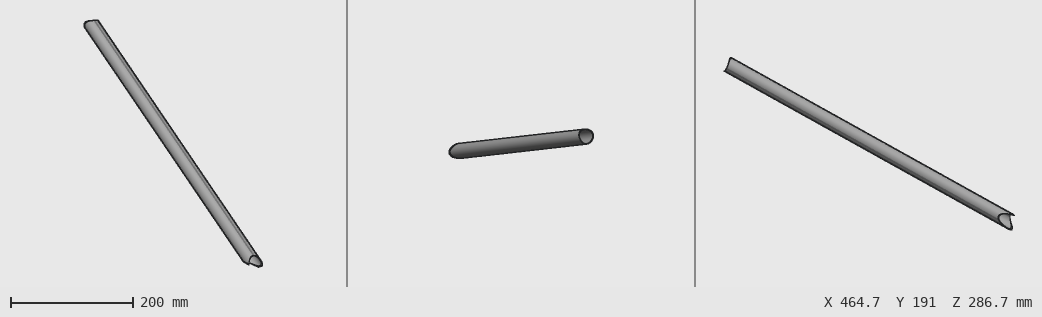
import cadquery as cq

TUBE_RADIUS = 12.7
WALL = 1.2
STOCK_OVERRUN = 40.0

UPPER_JOINT = cq.Vector(-236.88, 86.84, 140.99)
LOWER_JOINT = cq.Vector(229.99, -85.99, -139.98)

UPPER_MATE_DIRECTION = cq.Vector(0.626, 0.075, 0.776)
UPPER_MATE_RADIUS = 17.1
LOWER_MATE_DIRECTIONS = [
    cq.Vector(0.972, 0.010, 0.234),
    cq.Vector(0.099, -0.207, 0.973),
]
LOWER_MATE_RADIUS = 13.03

CUTTER_LENGTH = 240.0
CUTTER_REACH = 120.0

AXIS = (LOWER_JOINT - UPPER_JOINT).normalized()
UP = cq.Vector(0, 0, 1)
SIDE = AXIS.cross(UP)


def tube_stock(radius):
    """Solid cylinder past both joints, its round wall split in two faces above and below the axis."""
    start = UPPER_JOINT - AXIS * STOCK_OVERRUN
    length = (LOWER_JOINT - UPPER_JOINT).Length + 2 * STOCK_OVERRUN
    return (
        cq.Workplane(cq.Plane(origin=start, xDir=SIDE, normal=AXIS))
        .moveTo(0, radius)
        .threePointArc((radius, 0), (0, -radius))
        .threePointArc((-radius, 0), (0, radius))
        .close()
        .extrude(length, clean=False)
    )


def saddle_cutter(joint, direction, radius, outward):
    """Mating tube centred on a joint, plus all the space beyond its axis on the outward side."""
    across = outward.cross(direction)
    section = cq.Plane(origin=joint, xDir=across, normal=direction)
    outward_sign = 1 if section.yDir.dot(outward) > 0 else -1
    mate = cq.Workplane(section).circle(radius).extrude(CUTTER_LENGTH / 2, both=True)
    beyond = (
        cq.Workplane(section)
        .center(0, outward_sign * CUTTER_REACH / 2)
        .rect(CUTTER_REACH, CUTTER_REACH)
        .extrude(CUTTER_LENGTH / 2, both=True)
    )
    return mate.union(beyond)


tube = tube_stock(TUBE_RADIUS).cut(tube_stock(TUBE_RADIUS - WALL), clean=False)

tube = tube.cut(saddle_cutter(UPPER_JOINT, UPPER_MATE_DIRECTION, UPPER_MATE_RADIUS, -AXIS), clean=False)

for mate_direction in LOWER_MATE_DIRECTIONS:
    cutter = saddle_cutter(LOWER_JOINT, mate_direction, LOWER_MATE_RADIUS, AXIS)
    tube = tube.cut(cutter, clean=False)

result = cq.Workplane(tube.solids().val())